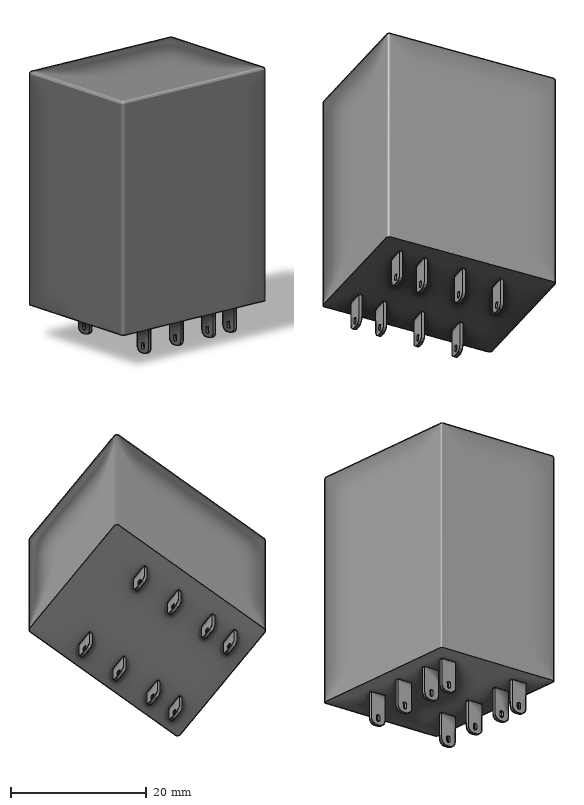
import cadquery as cq

body_width = 21.5
body_depth = 28.0
total_height = 41.0
pin_length = 5.0
edge_radius = 0.5

pin_width = 2.6
pin_thickness = 0.5
pin_corner_radius = 1.0
column_spacing = 13.3
row_pitch = 6.3
end_row_gap = 4.1
middle_row_y = -0.06

slot_width = 0.6
slot_height = 1.02
slot_centre_height = 1.1

body_height = total_height - pin_length
pin_columns = (-column_spacing / 2, column_spacing / 2)
pin_rows = (
    middle_row_y - row_pitch,
    middle_row_y,
    middle_row_y + row_pitch,
    middle_row_y + row_pitch + end_row_gap,
)


def make_body():
    """Block standing on Z = 0, rounded on all edges except around the base."""
    block = cq.Workplane("XY").box(body_width, body_depth, body_height, centered=(True, True, False))
    return block.edges("|Z or >Z").fillet(edge_radius)


def make_pin():
    """Flat pin hanging below Z = 0, with rounded lower corners and a slot."""
    blade = (
        cq.Workplane("XY")
        .box(pin_width, pin_thickness, pin_length, centered=(True, True, False))
        .translate((0, 0, -pin_length))
        .faces("<Z")
        .edges("|Y")
        .fillet(pin_corner_radius)
    )
    slot = (
        cq.Workplane("XZ")
        .center(0, slot_centre_height - pin_length)
        .slot2D(slot_height, slot_width, 90)
        .extrude(pin_thickness, both=True)
    )
    return blade.cut(slot)


result = make_body()
pin = make_pin()
for x in pin_columns:
    for y in pin_rows:
        result = result.union(pin.translate((x, y, 0)))